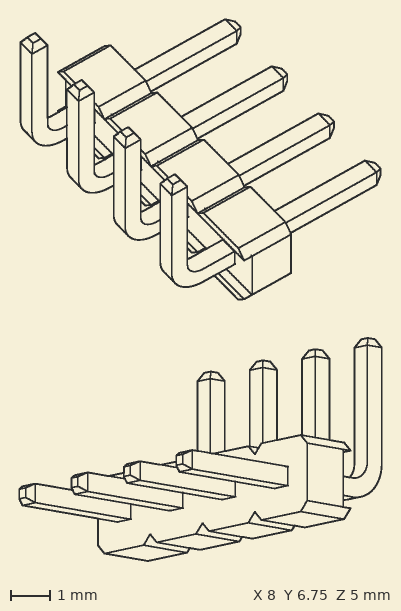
import cadquery as cq


pin_count = 4
row_length = 8.0
pitch = row_length / pin_count

housing_height = pitch
housing_depth = 0.75 * pitch
notch_size = pitch / 8
recess_depth = pitch / 8

pin_width = pitch / 4
bend_inner_radius = pin_width
bend_outer_radius = bend_inner_radius + pin_width
rear_reach = 1.75 * pitch
front_reach = 0.875 * pitch
upright_height = 2 * pitch
tip_length = 0.22
tip_width = pin_width / 2

half_height = housing_height / 2
half_pin = pin_width / 2
front_y = -housing_depth
pin_front_y = front_y - front_reach
pin_centers = [(i + 0.5) * pitch for i in range(pin_count)]


def make_segment(center_x):
    """One octagonal housing segment with all four long edges chamfered."""
    half_pitch = pitch / 2
    half_flat = half_pitch - notch_size
    half_side = half_height - notch_size
    return (
        cq.Workplane("XZ", origin=(center_x, 0, 0))
        .polyline([
            (-half_flat, half_height),
            (half_flat, half_height),
            (half_pitch, half_side),
            (half_pitch, -half_side),
            (half_flat, -half_height),
            (-half_flat, -half_height),
            (-half_pitch, -half_side),
            (-half_pitch, half_side),
        ])
        .close()
        .extrude(housing_depth)
    )


def make_housing():
    """Row of joined segments with a front recess and a square hole for each pin."""
    housing = make_segment(pin_centers[0])
    for center_x in pin_centers[1:]:
        housing = housing.union(make_segment(center_x))

    recess = cq.Workplane("XY").box(
        row_length, recess_depth, housing_height - 2 * notch_size, centered=(False, False, True)
    ).translate((0, front_y, 0))
    housing = housing.cut(recess)

    for center_x in pin_centers:
        hole = cq.Workplane("XY").box(
            pin_width, housing_depth, pin_width, centered=(True, False, True)
        ).translate((center_x, front_y, 0))
        housing = housing.cut(hole)
    return housing


def make_tip(base_plane):
    """Tapered square pin tip that grows from the given plane."""
    return (
        cq.Workplane(base_plane)
        .rect(pin_width, pin_width)
        .workplane(offset=tip_length)
        .rect(tip_width, tip_width)
        .loft(ruled=True)
    )


def make_pin(center_x):
    """Square pin bent upward in front of the housing, with both ends tapered."""
    rear_shoulder_y = rear_reach - tip_length
    upper_shoulder_z = upright_height - tip_length
    upright_back_y = pin_front_y + pin_width
    bend_y = pin_front_y + bend_outer_radius
    bend_z = bend_outer_radius - half_pin
    diagonal = 0.5 ** 0.5

    shank = (
        cq.Workplane("YZ", origin=(center_x - half_pin, 0, 0))
        .moveTo(rear_shoulder_y, -half_pin)
        .lineTo(bend_y, -half_pin)
        .threePointArc(
            (bend_y - bend_outer_radius * diagonal, bend_z - bend_outer_radius * diagonal),
            (pin_front_y, bend_z),
        )
        .lineTo(pin_front_y, upper_shoulder_z)
        .lineTo(upright_back_y, upper_shoulder_z)
        .lineTo(upright_back_y, bend_z)
        .threePointArc(
            (bend_y - bend_inner_radius * diagonal, bend_z - bend_inner_radius * diagonal),
            (bend_y, half_pin),
        )
        .lineTo(rear_shoulder_y, half_pin)
        .close()
        .extrude(pin_width)
    )
    rear_plane = cq.Plane(origin=(center_x, rear_shoulder_y, 0), xDir=(1, 0, 0), normal=(0, 1, 0))
    upper_plane = cq.Plane(
        origin=(center_x, pin_front_y + half_pin, upper_shoulder_z), xDir=(1, 0, 0), normal=(0, 0, 1)
    )
    return shank.union(make_tip(rear_plane)).union(make_tip(upper_plane))


housing = make_housing()
pins = [make_pin(center_x) for center_x in pin_centers]

result = cq.Compound.makeCompound([
    *housing.solids().vals(),
    *[solid for pin in pins for solid in pin.solids().vals()],
])